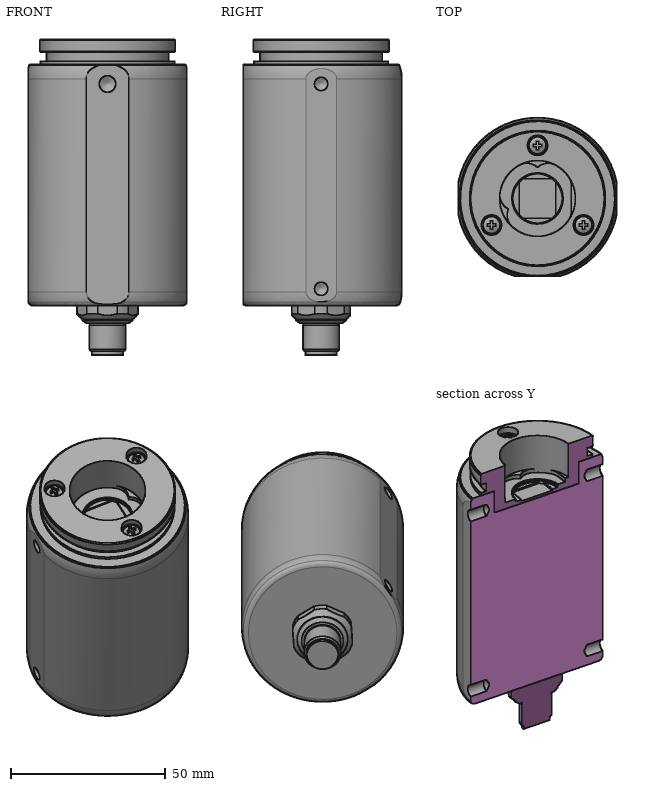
import cadquery as cq
import math

tip_top = 1.2
barrel_chamfer_top = 1.8
barrel_top = 9.7
neck_top = 10.3
lower_cone_top = 11.3
upper_cone_bottom = 11.6
nut_cone_top = 13.4
housing_bottom = 16.0
housing_top = 94.4
rim_top = 95.4
disc_bottom = 98.3
cap_top = 102.6

housing_radius = 26.3
crown_height = 4.6
crown_radius = 12.0
top_chamfer = 0.3
bottom_fillet = 1.7
front_flat_width = 14.0
side_flat_width = 10.0
hole_top_level = 88.0
hole_bottom_level = 21.5
front_hole_radius = 2.7
side_hole_radius = 2.2
hole_depth = 6.2
drill_tip_angle = 118.0

disc_radius = 22.1
disc_chamfer = 0.4
neck_radius = 19.9
rim_radius = 21.8
plug_radius = 16.4
plug_depth = 8.2
bore_radius = 12.3
bore_depth = 14.1
aperture_radius = 8.3
aperture_depth = 0.5
window_radius = 8.0
window_ledge_depth = 0.5
window_length_x = 12.0
window_length_y = 12.9
window_depth = 0.5

key_height = 1.4
key_tip_radius = 10.1
key_blend_radius = 5.0
key_angles = (90.0, 200.0)
flat_key_distance = 11.0

screw_count = 3
screw_circle_radius = 17.2
counterbore_radius = 3.3
counterbore_depth = 2.3
screw_head_radius = 2.8
screw_head_top_depth = 1.0
screw_head_edge_height = 0.3
cross_length = 2.8
cross_width = 0.8
cross_depth = 0.6

nut_corner_radius = 10.1
nut_across_flats = 19.1
cone_step_radius = 8.2
cone_end_radius = 6.8
relief_radius = 5.8
barrel_radius = 6.0
tip_radius = 5.1


def cylinder(radius, bottom, top):
    return cq.Workplane("XY").workplane(offset=bottom).circle(radius).extrude(top - bottom)


def polar(radius, degrees):
    angle = math.radians(degrees)
    return (radius * math.cos(angle), radius * math.sin(angle))



def crown_inset(height):
    """Inward drop of the crown arc at a height above its tangent line."""
    return crown_radius - math.sqrt(crown_radius**2 - height**2)


def barrel_shape():
    """Turned barrel whose ends curve gently inward."""
    end_radius = housing_radius - crown_inset(crown_height)
    middle_radius = housing_radius - crown_inset(crown_height / 2)
    profile = (
        cq.Workplane("XZ")
        .moveTo(0, housing_bottom)
        .lineTo(end_radius, housing_bottom)
        .threePointArc(
            (middle_radius, housing_bottom + crown_height / 2),
            (housing_radius, housing_bottom + crown_height),
        )
        .lineTo(housing_radius, housing_top - crown_height)
        .threePointArc(
            (middle_radius, housing_top - crown_height / 2),
            (end_radius, housing_top),
        )
        .lineTo(0, housing_top)
        .close()
    )
    barrel = profile.revolve(360, (0, 0, 0), (0, 1, 0))
    return barrel.faces(">Z").edges().chamfer(top_chamfer).faces("<Z").edges().fillet(bottom_fillet)


def flat_distance(width):
    """Distance from the axis to a flat of the given width."""
    return math.sqrt(housing_radius**2 - (width / 2) ** 2)


def flat_cutter(width):
    """Block that mills one flat on the +X side."""
    distance = flat_distance(width)
    length = housing_top - housing_bottom
    return (
        cq.Workplane("XY")
        .box(housing_radius, 2 * housing_radius, length, centered=(False, True, False))
        .translate((distance, 0, housing_bottom))
    )


def drilled_hole(radius, surface_distance, level):
    """Blind hole with a conical end, drilled inward from the +X side."""
    shoulder = surface_distance - hole_depth
    tip = shoulder - radius / math.tan(math.radians(drill_tip_angle / 2))
    return (
        cq.Workplane("XZ")
        .polyline([(tip, 0), (shoulder, radius), (surface_distance, radius), (surface_distance, 0)])
        .close()
        .revolve(360, (0, 0, 0), (1, 0, 0))
        .translate((0, 0, level))
    )


def milled_flat(width, hole_radius, hole_levels, direction):
    """A flat and its holes, turned to the given direction about Z."""
    cutter = flat_cutter(width)
    for level in hole_levels:
        cutter = cutter.union(drilled_hole(hole_radius, flat_distance(width), level))
    return cutter.rotate((0, 0, 0), (0, 0, 1), direction)


def make_housing():
    body = barrel_shape()
    body = body.cut(milled_flat(front_flat_width, front_hole_radius, [hole_top_level], -90))
    for direction in (0, 180):
        side_levels = [hole_top_level, hole_bottom_level]
        body = body.cut(milled_flat(side_flat_width, side_hole_radius, side_levels, direction))
    return body.cut(cylinder(plug_radius, housing_top - plug_depth, housing_top))



floor_level = cap_top - bore_depth
key_blend_center = bore_radius - key_blend_radius


def pointed_key(direction):
    """Key with a sharp tip whose two flanks blend tangentially into the bore."""
    cosine = (key_blend_center**2 + key_tip_radius**2 - key_blend_radius**2) / (
        2 * key_blend_center * key_tip_radius
    )
    half_angle = math.degrees(math.acos(cosine))

    def flank_middle(side):
        center = polar(key_blend_center, side * half_angle)
        tip_direction = math.degrees(math.atan2(-center[1], key_tip_radius - center[0]))
        offset = polar(key_blend_radius, (tip_direction + side * half_angle) / 2)
        return (center[0] + offset[0], center[1] + offset[1])

    return (
        cq.Workplane("XY")
        .workplane(offset=floor_level)
        .moveTo(*polar(bore_radius, -half_angle))
        .threePointArc(flank_middle(-1), (key_tip_radius, 0))
        .threePointArc(flank_middle(1), polar(bore_radius, half_angle))
        .threePointArc((bore_radius, 0), polar(bore_radius, -half_angle))
        .close()
        .extrude(key_height)
        .rotate((0, 0, 0), (0, 0, 1), direction)
    )


def flat_key():
    """Key with a straight inner face on the +X side, blended into the bore."""
    half_angle = math.degrees(math.acos((flat_key_distance - key_blend_radius) / key_blend_center))
    upper_center = polar(key_blend_center, half_angle)
    offset = polar(key_blend_radius, half_angle / 2)
    blend_middle = (upper_center[0] + offset[0], upper_center[1] + offset[1])
    return (
        cq.Workplane("XY")
        .workplane(offset=floor_level)
        .moveTo(flat_key_distance, -upper_center[1])
        .lineTo(flat_key_distance, upper_center[1])
        .threePointArc(blend_middle, polar(bore_radius, half_angle))
        .threePointArc((bore_radius, 0), polar(bore_radius, -half_angle))
        .threePointArc((blend_middle[0], -blend_middle[1]), (flat_key_distance, -upper_center[1]))
        .close()
        .extrude(key_height)
    )


def cap_blank():
    """Turned cap: disc, neck, rim and the plug that enters the housing."""
    disc = cylinder(disc_radius, disc_bottom, cap_top).edges().chamfer(disc_chamfer)
    neck = cylinder(neck_radius, rim_top, disc_bottom)
    rim = cylinder(rim_radius, housing_top, rim_top)
    plug = cylinder(plug_radius, housing_top - plug_depth, housing_top)
    return plug.union(rim).union(neck).union(disc)


def sensor_opening():
    """Bore, stepped aperture and the rectangular window seen through it."""
    ledge_level = floor_level - aperture_depth
    window_top = ledge_level - window_ledge_depth
    window = (
        cylinder(window_radius, window_top - window_depth, window_top)
        .intersect(
            cq.Workplane("XY")
            .box(window_length_x, window_length_y, window_depth, centered=(True, True, False))
            .translate((0, 0, window_top - window_depth))
        )
    )
    bore = cylinder(bore_radius, floor_level, cap_top)
    aperture = cylinder(aperture_radius, ledge_level, floor_level)
    ledge = cylinder(window_radius, window_top, ledge_level)
    return bore.union(aperture).union(ledge).union(window)


def screw_head():
    """Domed head with a cross recess, standing on the counterbore floor at the axis."""
    bottom = cap_top - counterbore_depth
    edge = bottom + screw_head_edge_height
    top = cap_top - screw_head_top_depth
    rise = top - edge
    dome_radius = (screw_head_radius**2 + rise**2) / (2 * rise)
    half_chord = screw_head_radius / 2
    dome_middle = top - dome_radius + math.sqrt(dome_radius**2 - half_chord**2)
    head = (
        cq.Workplane("XZ")
        .moveTo(0, bottom)
        .lineTo(screw_head_radius, bottom)
        .lineTo(screw_head_radius, edge)
        .threePointArc((half_chord, dome_middle), (0, top))
        .close()
        .revolve(360, (0, 0, 0), (0, 1, 0))
    )
    cross = (
        cq.Workplane("XY")
        .workplane(offset=top - cross_depth)
        .rect(cross_length, cross_width)
        .extrude(cross_depth)
        .union(
            cq.Workplane("XY")
            .workplane(offset=top - cross_depth)
            .rect(cross_width, cross_length)
            .extrude(cross_depth)
        )
    )
    return head.cut(cross)


def make_cap():
    body = cap_blank().cut(sensor_opening())
    for direction in key_angles:
        body = body.union(pointed_key(direction))
    body = body.union(flat_key())
    counterbore = cylinder(counterbore_radius, cap_top - counterbore_depth, cap_top)
    head = screw_head()
    for index in range(screw_count):
        x, y = polar(screw_circle_radius, 90 + index * 360 / screw_count)
        body = body.cut(counterbore.translate((x, y, 0))).union(head.translate((x, y, 0)))
    return body



def make_connector():
    """Plug connector: turned outline with hexagon flats on its nut."""
    barrel_chamfer = barrel_chamfer_top - tip_top
    turned = (
        cq.Workplane("XZ")
        .polyline([
            (0, 0),
            (tip_radius, 0),
            (tip_radius, tip_top),
            (barrel_radius - barrel_chamfer, tip_top),
            (barrel_radius, barrel_chamfer_top),
            (barrel_radius, barrel_top),
            (relief_radius, barrel_top),
            (relief_radius, neck_top),
            (cone_end_radius, neck_top),
            (cone_step_radius, lower_cone_top),
            (cone_step_radius, upper_cone_bottom),
            (nut_corner_radius, nut_cone_top),
            (nut_corner_radius, housing_bottom),
            (0, housing_bottom),
        ])
        .close()
        .revolve(360, (0, 0, 0), (0, 1, 0))
    )
    hexagon_diameter = nut_across_flats / math.cos(math.pi / 6)
    hexagon = cq.Workplane("XY").polygon(6, hexagon_diameter).extrude(housing_bottom)
    return turned.intersect(hexagon)


housing = make_housing()
cap = make_cap()
connector = make_connector()

result = cq.Compound.makeCompound([housing.val(), cap.val(), connector.val()])